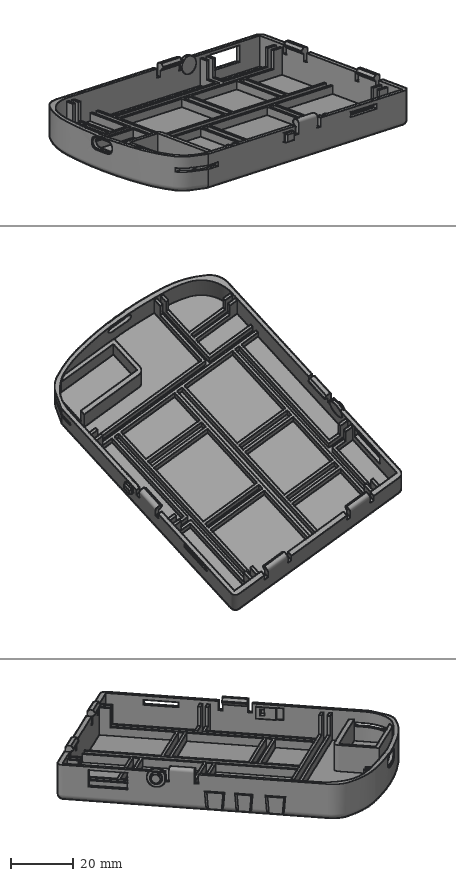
import cadquery as cq

overall_width = 72.12
width = 70.0
length = 102.18
rim_height = 12.2
total_height = 13.8
floor_thickness = 1.7
side_wall = 1.45
back_wall = 1.8
front_wall = 1.65
corner_radius = 2.0
bottom_radius = 1.95
half_width = width / 2
half_cavity = half_width - side_wall

left_bow = [(-half_width, -88.9), (-31.6, -95.3), (-17.9, -100.7)]
right_bow = [(17.9, -100.85), (28.9, -97.4), (32.9, -93.0)]
right_bow_end = (half_width, -87.6)
front_apex = (0, -length)

left_cavity_bow = [(-half_cavity, -85.3), (-25.5, -97.1), (-18.5, -98.95)]
right_cavity_bow = [(18.5, -99.2), (26.0, -97.1), (half_cavity, -85.7)]
cavity_apex = (0, front_wall - length)

rib_thickness = 1.0
rib_top = 4.5
post_top = 11.0
wide_gap = 2.05
medium_gap = 1.7
narrow_gap = 1.4
left_channel_x = -24.9
middle_channel_x = -1.15
right_channel_x = 24.9
front_channel_x = -14.87
cross_channel_y = -73.95
post_reach_back = 5.5
post_reach_side = 30.55
post_reach_front = -96.65

clip_length = 8.25
clip_gap = 1.4
clip_gap_floor = 9.1
back_clip_x = 17.0
left_clip_y = -41.0
right_clip_y = -44.15
hook_rounding = 1.1
hook_crest = 1.95
hook_tip = 2.7
hook_tip_low = 12.4
hook_tip_high = 12.8

port_x = 0.4
port_z = 9.4
port_width = 9.2
port_height = 3.7
port_flare = 0.4
port_flare_depth = 0.4
port_margin = 0.3
port_relief_width = 7.1
port_relief_depth = 0.15
port_relief_bevel = 0.8

window_y = -16.9
window_z = 8.25
window_length = 12.7
window_height = 5.7

side_slot_y = -19.8
side_slot_z = 9.95
side_slot_length = 11.4
side_slot_height = 1.7

corner_slot_x = 29.5
corner_slot_y = -83.3
corner_slot_floor = 7.0
corner_slot_height = 1.3

recess_top = 6.8
recess_bottom = -1.0
recess_depth = 0.5
recess_draft = 50
recess_narrowing = 0.65
recess_places = [(-51.8, 6.6), (-61.35, 5.9), (-71.7, 6.6)]

button_y = -32.65
button_z = 10.0
button_radius = 2.0
button_chamfer = 0.5
button_protrusion = 0.7
button_flange_radius = 3.1
button_skin = 0.3

slider_back_y = -50.9
slider_length = 6.6
slider_pocket_length = 9.0
slider_floor = 7.3
slider_height = 4.0
slider_plate_x = 34.2
slider_plate_inside = 0.4
knob_y = -52.95
knob_length = 3.4
knob_z = 9.5
knob_height = 3.2
knob_protrusion = overall_width - width - button_protrusion
knob_chamfer_out = 0.75
knob_chamfer_side = 0.35
knob_hollow_length = 1.5
knob_hollow_height = 2.1
knob_hollow_end = 35.6

tray_left = 5.55
tray_right = 30.2
tray_back = -82.0
tray_front = -97.1
tray_wall = 1.4
tray_back_wall = 1.7
tray_floor = 3.3
tray_top = 10.6
tray_corner_radius = 2.0


def block(x_range, y_range, z_range):
    """Box between two limits on each axis."""
    size = [high - low for low, high in (x_range, y_range, z_range)]
    return cq.Workplane("XY").box(*size, centered=False).translate((x_range[0], y_range[0], z_range[0]))


def case_blank():
    outline = cq.Workplane("XY").moveTo(-half_width, 0).lineTo(*left_bow[0])
    for point in left_bow[1:] + [front_apex] + right_bow:
        outline = outline.tangentArcPoint(point, relative=False)
    outline = outline.lineTo(*right_bow_end).lineTo(half_width, 0).close()
    blank = outline.extrude(rim_height)
    blank = blank.edges("|Z and >Y").fillet(corner_radius)
    return blank.faces("<Z").edges().fillet(bottom_radius)


def case_cavity():
    outline = cq.Workplane("XY", origin=(0, 0, floor_thickness))
    outline = outline.moveTo(-half_cavity, -back_wall).lineTo(*left_cavity_bow[0])
    for point in left_cavity_bow[1:] + [cavity_apex] + right_cavity_bow:
        outline = outline.tangentArcPoint(point, relative=False)
    return outline.lineTo(half_cavity, -back_wall).close().extrude(total_height)


def channel_blocks(along, centre, gap, start, end, top):
    """Solid bar for a rib pair and the groove that splits it."""
    bar_half = gap / 2 + rib_thickness
    run = (start, end)
    heights = (floor_thickness, top)
    bar_side = (centre - bar_half, centre + bar_half)
    groove_side = (centre - gap / 2, centre + gap / 2)
    if along == "X":
        return block(run, bar_side, heights), block(run, groove_side, heights)
    return block(bar_side, run, heights), block(groove_side, run, heights)


def floor_ribs(cavity):
    left_groove = left_channel_x - medium_gap / 2
    right_groove = right_channel_x + medium_gap / 2
    left_inner = left_channel_x + medium_gap / 2 + rib_thickness
    right_inner = right_channel_x - medium_gap / 2 - rib_thickness
    middle_left = middle_channel_x - wide_gap / 2 - rib_thickness
    middle_right = middle_channel_x + wide_gap / 2 + rib_thickness
    cross_back = cross_channel_y + medium_gap / 2 + rib_thickness
    cross_groove = cross_channel_y - medium_gap / 2
    front_left = front_channel_x - narrow_gap / 2 - rib_thickness

    channels = [
        ("Y", left_channel_x, medium_gap, cross_back, 0, rib_top),
        ("Y", middle_channel_x, wide_gap, cross_back, 0, rib_top),
        ("Y", right_channel_x, medium_gap, cross_back, 0, rib_top),
        ("X", -19.5, wide_gap, left_inner, middle_left, rib_top),
        ("X", -43.45, wide_gap, left_inner, middle_left, rib_top),
        ("X", -28.6, medium_gap, middle_right, right_inner, rib_top),
        ("X", -57.45, wide_gap, middle_right, right_inner, rib_top),
        ("X", cross_channel_y, medium_gap, -half_width, half_width, rib_top),
        ("Y", front_channel_x, narrow_gap, -length, cross_groove, rib_top),
        ("X", -25.9, medium_gap, -half_width, left_groove, rib_top),
        ("X", -34.2, narrow_gap, right_groove, half_width, rib_top),
        ("X", -84.4, narrow_gap, -half_width, front_left, rib_top),
        ("Y", left_channel_x, medium_gap, -post_reach_back, 0, post_top),
        ("Y", right_channel_x, medium_gap, -post_reach_back, 0, post_top),
        ("X", -25.9, medium_gap, -half_width, -post_reach_side, post_top),
        ("X", -84.4, narrow_gap, -half_width, -post_reach_side, post_top),
        ("X", -34.2, narrow_gap, post_reach_side, half_width, post_top),
        ("X", cross_channel_y, medium_gap, post_reach_side, half_width, post_top),
        ("Y", front_channel_x, narrow_gap, -length, post_reach_front, post_top),
    ]
    pieces = [channel_blocks(*channel) for channel in channels]
    ribs = pieces[0][0]
    for bar, _ in pieces[1:]:
        ribs = ribs.union(bar)
    for _, groove in pieces:
        ribs = ribs.cut(groove)
    return ribs.intersect(cavity)


def place_on_wall(shape, turn, x, y):
    """Move a shape made on the back face to a wall point; turn is about Z, in degrees."""
    return shape.rotate((0, 0, 0), (0, 0, 1), turn).translate((x, y, 0))


def clip_gaps(wall):
    """Two slots that free a clip from the wall on either side."""
    gap = block((0, clip_gap), (-wall, 0), (clip_gap_floor, total_height))
    return gap.translate((clip_length / 2, 0, 0)).union(gap.translate((-clip_length / 2 - clip_gap, 0, 0)))


def clip_hook(wall):
    """Raised clip head with a rounded outer edge and an inward barb."""
    barb_drop = hook_tip - wall
    barb = [
        (-hook_crest, total_height),
        (-hook_tip, hook_tip_high),
        (-hook_tip, hook_tip_low),
        (-wall, hook_tip_low - barb_drop),
        (-wall, rim_height),
    ]
    profile = cq.Workplane("YZ").moveTo(0, rim_height).lineTo(0, total_height - hook_rounding)
    profile = profile.tangentArcPoint((-hook_rounding, total_height), relative=False)
    for point in barb:
        profile = profile.lineTo(*point)
    return profile.close().extrude(clip_length / 2, both=True)


def add_clips(case):
    places = [
        (back_wall, 0, -back_clip_x, 0),
        (back_wall, 0, back_clip_x, 0),
        (side_wall, 90, -half_width, left_clip_y),
        (side_wall, -90, half_width, right_clip_y),
    ]
    for wall, turn, x, y in places:
        case = case.cut(place_on_wall(clip_gaps(wall), turn, x, y))
        case = case.union(place_on_wall(clip_hook(wall), turn, x, y))
    return case


def port_opening():
    """Round-ended connector hole through the front wall, flared at the outside."""
    start_y = -length - port_margin
    start_flare = 2 * (port_flare + port_margin)
    face = cq.Workplane("XZ", origin=(port_x, start_y, port_z))
    hole = face.slot2D(port_width, port_height).extrude(-2 * front_wall)
    mouth = face.slot2D(port_width + start_flare, port_height + start_flare)
    flare = mouth.extrude(-(port_flare_depth + port_margin), taper=45)
    return hole.union(flare)


def port_relief():
    """Shallow dip with bevelled ends in the rim above the connector hole."""
    half_top = port_relief_width / 2
    half_bottom = half_top - port_relief_bevel
    bottom = rim_height - port_relief_depth
    profile = [
        (-half_top, rim_height),
        (-half_bottom, bottom),
        (half_bottom, bottom),
        (half_top, rim_height),
    ]
    face = cq.Workplane("XZ", origin=(port_x, -length, 0))
    return face.polyline(profile).close().extrude(-2 * front_wall)


def wall_openings():
    window = cq.Workplane("XY").box(2 * side_wall, window_length, window_height)
    side_slot = cq.Workplane("XY").box(2 * side_wall, side_slot_length, side_slot_height)
    corner_slot = block(
        (corner_slot_x, half_width),
        (-length, corner_slot_y),
        (corner_slot_floor, corner_slot_floor + corner_slot_height),
    )
    return [
        window.translate((-half_width, window_y, window_z)),
        side_slot.translate((half_width, side_slot_y, side_slot_z)),
        corner_slot,
        port_opening(),
        port_relief(),
    ]


def finger_recess(y, top_width):
    half_top = top_width / 2
    half_bottom = half_top - recess_narrowing
    outline = [
        (-half_top, recess_top),
        (half_top, recess_top),
        (half_bottom, recess_bottom),
        (-half_bottom, recess_bottom),
    ]
    face = cq.Workplane("YZ", origin=(-half_width, y, 0))
    return face.polyline(outline).close().extrude(recess_depth, taper=recess_draft)


def left_disc(radius, x_start, x_end):
    """Disc on the button axis."""
    face = cq.Workplane("YZ", origin=(x_start, button_y, button_z))
    return face.circle(radius).extrude(x_end - x_start)


def round_button():
    flange = left_disc(button_flange_radius, button_skin - half_width, -half_cavity)
    stem = left_disc(button_radius, -half_width - button_protrusion, -half_cavity)
    stem = stem.faces("<X").edges().chamfer(button_chamfer)
    return stem.union(flange)


def slider_plate(plate_length, x_inner):
    """Plate of the slide switch, from an inner X limit out to its seat in the wall."""
    return block(
        (x_inner, slider_plate_x),
        (slider_back_y - plate_length, slider_back_y),
        (slider_floor, slider_floor + slider_height),
    )


def slide_switch():
    plate = slider_plate(slider_length, half_cavity - slider_plate_inside)
    knob_end = half_width + knob_protrusion
    knob_run = knob_end - slider_plate_x
    knob = cq.Workplane("XY").box(knob_run, knob_length, knob_height)
    knob = knob.translate((slider_plate_x + knob_run / 2, knob_y, knob_z))
    knob = knob.faces(">X").chamfer(knob_chamfer_side, knob_chamfer_out)
    hollow_run = 2 * (knob_hollow_end - half_cavity)
    hollow = cq.Workplane("XY").box(hollow_run, knob_hollow_length, knob_hollow_height)
    hollow = hollow.translate((half_cavity, knob_y, knob_z))
    return plate.union(knob).cut(hollow)


def slider_opening():
    """Pocket for the switch plate, longer than the plate, and the hole for its knob."""
    pocket = slider_plate(slider_pocket_length, half_cavity)
    hole = block(
        (slider_plate_x, half_width),
        (knob_y - knob_length / 2, knob_y + knob_length / 2),
        (knob_z - knob_height / 2, knob_z + knob_height / 2),
    )
    return pocket.union(hole)


def inner_tray(cavity):
    z_range = (floor_thickness, tray_top)
    outer = block((tray_left, tray_right), (tray_front, tray_back), z_range)
    outer = outer.edges("|Z and <X and >Y").fillet(tray_corner_radius)
    inside = block(
        (tray_left + tray_wall, tray_right),
        (tray_front + tray_wall, tray_back - tray_back_wall),
        (tray_floor, tray_top),
    )
    return outer.cut(inside).intersect(cavity)


def case_body(cavity):
    case = case_blank().cut(cavity).union(floor_ribs(cavity))
    case = add_clips(case)
    for opening in wall_openings():
        case = case.cut(opening)
    for y, top_width in recess_places:
        case = case.cut(finger_recess(y, top_width))
    case = case.cut(left_disc(button_flange_radius, button_skin - half_width, -half_cavity))
    case = case.cut(left_disc(button_radius, -half_width, -half_cavity))
    return case.cut(slider_opening())


cavity = case_cavity()
case = case_body(cavity)
button = round_button()
slider = slide_switch()
tray = inner_tray(cavity)

result = cq.Compound.makeCompound([case.val(), button.val(), slider.val(), tray.val()])